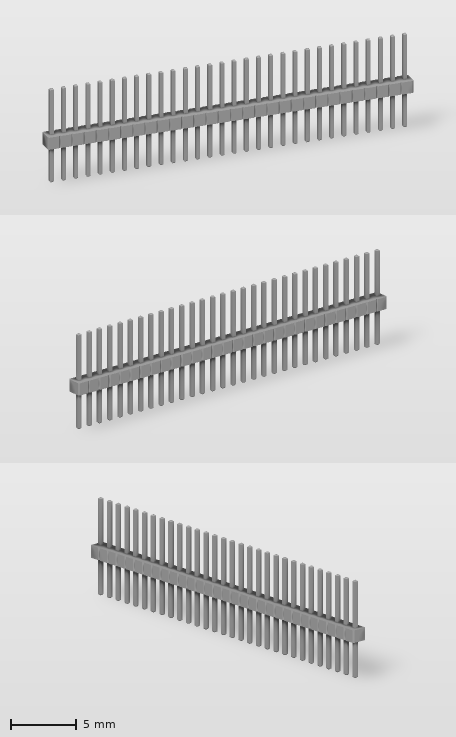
import cadquery as cq

pin_count = 30
pitch = 1.0
row_length = pin_count * pitch

body_width = 1.27
body_height = 1.0
body_chamfer = 0.1

pin_width = 0.3
pin_tip_chamfer = 0.08
pin_length_above = 3.8
pin_length_below = 3.0
pin_length = pin_length_above + body_height + pin_length_below

pin_positions = [(0, (i - (pin_count - 1) / 2) * pitch) for i in range(pin_count)]


def make_body():
    """One block per pin with chamfered vertical edges, joined by their end faces."""
    block = (
        cq.Workplane("XY")
        .box(body_width, pitch, body_height, centered=(True, True, False))
        .edges("|Z")
        .chamfer(body_chamfer)
    )
    core_width = body_width - 2 * body_chamfer
    body = cq.Workplane("XY").box(core_width, row_length, body_height, centered=(True, True, False))
    for x, y in pin_positions:
        body = body.union(block.translate((x, y, 0)))
    return body.clean()


def make_pin():
    """Square pin with bevelled tips at both ends."""
    return (
        cq.Workplane("XY")
        .box(pin_width, pin_width, pin_length, centered=(True, True, False))
        .faces("<Z or >Z")
        .edges()
        .chamfer(pin_tip_chamfer)
        .translate((0, 0, -pin_length_below))
    )


result = make_body()
pin = make_pin()
for pin_x, pin_y in pin_positions:
    result = result.union(pin.translate((pin_x, pin_y, 0)))